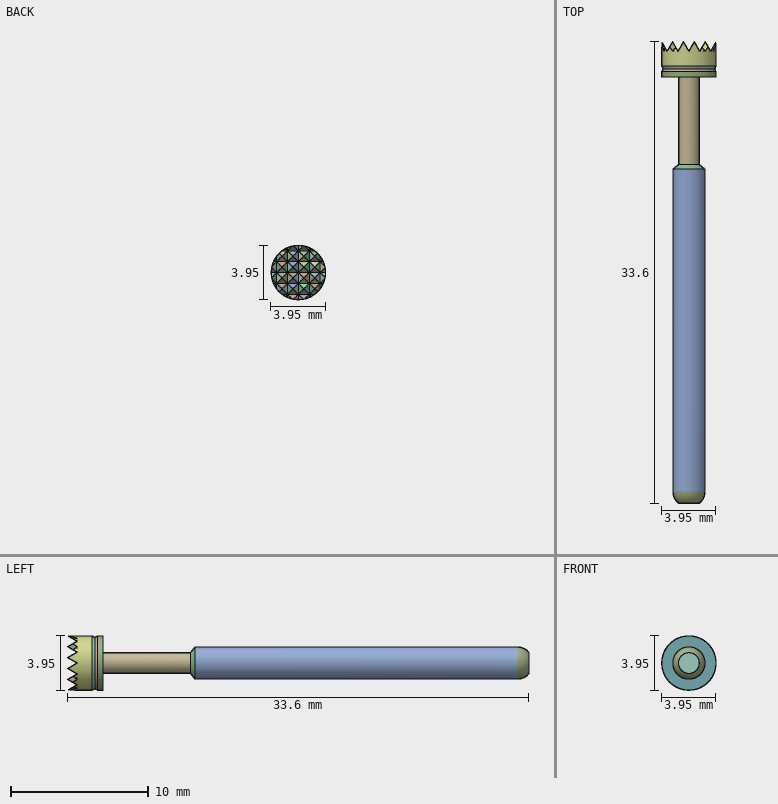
import cadquery as cq
import math

total_length = 33.6

head_diameter = 3.95
head_length = 2.6
groove_start = 0.4
groove_width = 0.4
groove_depth = 0.1

grooves_per_comb = 5
tooth_pitch = head_diameter / grooves_per_comb
tooth_angle = 60.0
tooth_depth = tooth_pitch / 2 / math.tan(math.radians(tooth_angle / 2))

stem_diameter = 1.5
barrel_diameter = 2.35
barrel_length = 24.65
mouth_cone_length = 0.35
tail_round_length = 0.85
tail_face_diameter = 1.5

head_radius = head_diameter / 2
stem_radius = stem_diameter / 2
barrel_radius = barrel_diameter / 2
tail_face_radius = tail_face_diameter / 2
head_back = total_length - head_length


def tail_arc_midpoint():
    """Point halfway along the tail arc, which runs tangentially into the barrel side."""
    inset = barrel_radius - tail_face_radius
    arc_radius = (tail_round_length**2 + inset**2) / (2 * inset)
    half_sweep = math.asin(tail_round_length / arc_radius) / 2
    radius = barrel_radius - arc_radius * (1 - math.cos(half_sweep))
    height = tail_round_length - arc_radius * math.sin(half_sweep)
    return radius, height


def make_turned_body():
    """Revolve the half profile (radius along X) around the Y axis."""
    groove_near = head_back + groove_start
    return (
        cq.Workplane("XY")
        .moveTo(0, 0)
        .lineTo(tail_face_radius, 0)
        .threePointArc(tail_arc_midpoint(), (barrel_radius, tail_round_length))
        .lineTo(barrel_radius, barrel_length - mouth_cone_length)
        .lineTo(stem_radius, barrel_length)
        .lineTo(stem_radius, head_back)
        .lineTo(head_radius, head_back)
        .lineTo(head_radius, groove_near)
        .lineTo(head_radius - groove_depth, groove_near + groove_width / 2)
        .lineTo(head_radius, groove_near + groove_width)
        .lineTo(head_radius, total_length)
        .lineTo(0, total_length)
        .close()
        .revolve(360, (0, 0, 0), (0, 1, 0))
    )


def make_tooth_grooves():
    """Comb of V grooves running along Z, with one groove centred on the axis."""
    valley = total_length - tooth_depth
    outermost = grooves_per_comb // 2
    half_width = grooves_per_comb * tooth_pitch / 2
    outline = cq.Workplane("XY").workplane(offset=-head_diameter).moveTo(-half_width, total_length)
    for index in range(-outermost, outermost + 1):
        centre = index * tooth_pitch
        outline = outline.lineTo(centre, valley).lineTo(centre + tooth_pitch / 2, total_length)
    top = total_length + tooth_depth
    outline = outline.lineTo(half_width, top).lineTo(-half_width, top)
    return outline.close().extrude(2 * head_diameter)


grooves_along_z = make_tooth_grooves()
grooves_along_x = grooves_along_z.rotate((0, 0, 0), (0, 1, 0), 90)

result = make_turned_body().cut(grooves_along_z).cut(grooves_along_x)